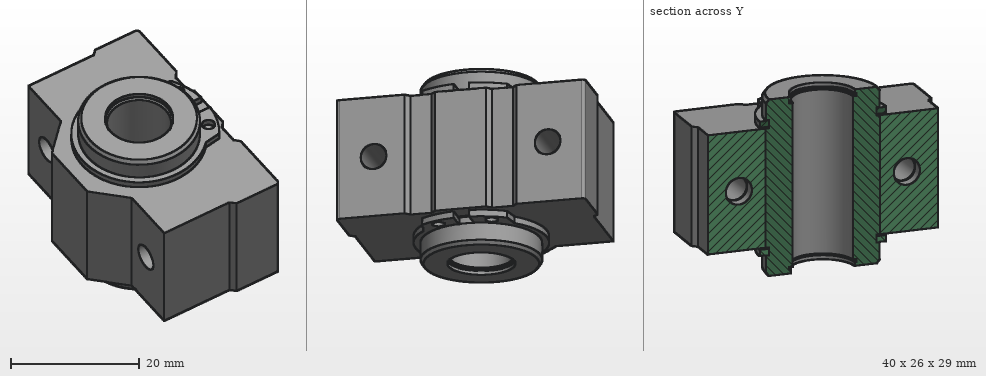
import cadquery as cq
import math

HOUSING_HEIGHT = 19.6
HALF_WIDTH = 20.0
HALF_DEPTH = 13.0
CORNER_RADIUS = 0.5
SIDE_STEP_Y = 5.0
SIDE_STEP = 0.8
SHOULDER_Y = -8.0
FOOT_HALF_WIDTH = 5.0
FOOT_SLOPE = HALF_DEPTH + SHOULDER_Y

NOTCH_X = 6.55
NOTCH_WIDTH = 4.95
NOTCH_DEPTH = 0.8

MOUNT_X = 14.0
MOUNT_MOUTH_DIAMETER = 4.3
MOUNT_DIAMETER = 4.1
MOUNT_MOUTH_DEPTH = 10.0

BEARING_LENGTH = 29.0
BEARING_DIAMETER = 19.0
BEARING_BORE = 10.0
END_CHAMFER_RADIAL = 0.5
END_CHAMFER_AXIAL = 0.65
MOUTH_DIAMETER = 10.6
MOUTH_DEPTH = 0.7
UNDERCUT_DIAMETER = 11.2
UNDERCUT_DEPTH = 1.1
GROOVE_DIAMETER = 18.0
GROOVE_OUTER_Z = 11.05
GROOVE_INNER_Z = HOUSING_HEIGHT / 2

CLIP_THICKNESS = 1.1
CLIP_DIAMETER = 21.15
CLIP_GAP = 2.5
LUG_RADIUS = 12.5
LUG_TOP_HALF_WIDTH = 6.85
LUG_ROOT_HALF_WIDTH = 7.3
LUG_HOLE_DIAMETER = 2.0
LUG_HOLE_X = 4.3
LUG_HOLE_Y = 10.1


def disc(diameter, bottom, height):
    return cq.Workplane("XY").workplane(offset=bottom).circle(diameter / 2).extrude(height)


def make_notch(x):
    half = NOTCH_WIDTH / 2
    floor_half = half - NOTCH_DEPTH
    floor_y = HALF_DEPTH - NOTCH_DEPTH
    return (
        cq.Workplane("XY")
        .polyline([
            (x - half, HALF_DEPTH),
            (x - floor_half, floor_y),
            (x + floor_half, floor_y),
            (x + half, HALF_DEPTH),
        ])
        .close()
        .extrude(HOUSING_HEIGHT / 2, both=True)
    )


def make_mount_hole(x):
    """Stepped through hole, wider where it enters the front shoulder."""
    front = cq.Workplane("XZ", origin=(x, SHOULDER_Y, 0))
    through = front.circle(MOUNT_DIAMETER / 2).extrude(SHOULDER_Y - HALF_DEPTH)
    mouth = front.circle(MOUNT_MOUTH_DIAMETER / 2).extrude(-MOUNT_MOUTH_DEPTH)
    return through.union(mouth)


def make_housing():
    waist = HALF_WIDTH - SIDE_STEP
    right_side = [
        (FOOT_HALF_WIDTH, -HALF_DEPTH),
        (FOOT_HALF_WIDTH + FOOT_SLOPE, SHOULDER_Y),
        (waist, SHOULDER_Y),
        (waist, SIDE_STEP_Y - SIDE_STEP),
        (HALF_WIDTH, SIDE_STEP_Y),
        (HALF_WIDTH, HALF_DEPTH),
    ]
    left_side = [(-x, y) for x, y in reversed(right_side)]
    housing = (
        cq.Workplane("XY")
        .polyline(right_side + left_side)
        .close()
        .extrude(HOUSING_HEIGHT / 2, both=True)
        .edges("|Z and >Y")
        .fillet(CORNER_RADIUS)
    )
    for side in (-1, 1):
        housing = housing.cut(make_notch(side * NOTCH_X))
        housing = housing.cut(make_mount_hole(side * MOUNT_X))
    return housing.cut(disc(BEARING_DIAMETER, -HOUSING_HEIGHT / 2, HOUSING_HEIGHT))


def make_bearing():
    """Revolve the wall section, with its clip grooves and undercut ends, about the Z axis."""
    end_z = BEARING_LENGTH / 2
    outer = BEARING_DIAMETER / 2
    groove = GROOVE_DIAMETER / 2
    mouth = MOUTH_DIAMETER / 2
    undercut = UNDERCUT_DIAMETER / 2
    bore = BEARING_BORE / 2
    upper_half = [
        (outer, GROOVE_INNER_Z),
        (groove, GROOVE_INNER_Z),
        (groove, GROOVE_OUTER_Z),
        (outer, GROOVE_OUTER_Z),
        (outer, end_z - END_CHAMFER_AXIAL),
        (outer - END_CHAMFER_RADIAL, end_z),
        (mouth, end_z),
        (mouth, end_z - MOUTH_DEPTH),
        (undercut, end_z - MOUTH_DEPTH),
        (undercut, end_z - UNDERCUT_DEPTH),
        (bore, end_z - UNDERCUT_DEPTH),
    ]
    lower_half = [(r, -z) for r, z in reversed(upper_half)]
    return (
        cq.Workplane("XZ")
        .polyline(upper_half + lower_half)
        .close()
        .revolve(360, (0, 0, 0), (0, 1, 0))
    )


def make_clip(bottom):
    """Open ring with two drilled lugs on the +Y side."""
    lug_top_y = math.sqrt(LUG_RADIUS**2 - LUG_TOP_HALF_WIDTH**2)
    lug_root_y = math.sqrt((CLIP_DIAMETER / 2)**2 - LUG_ROOT_HALF_WIDTH**2)
    plane = cq.Workplane("XY").workplane(offset=bottom)
    lugs = (
        plane.moveTo(-LUG_ROOT_HALF_WIDTH, lug_root_y)
        .lineTo(-LUG_TOP_HALF_WIDTH, lug_top_y)
        .threePointArc((0, LUG_RADIUS), (LUG_TOP_HALF_WIDTH, lug_top_y))
        .lineTo(LUG_ROOT_HALF_WIDTH, lug_root_y)
        .close()
        .extrude(CLIP_THICKNESS)
    )
    gap = plane.center(0, LUG_RADIUS / 2).rect(CLIP_GAP, LUG_RADIUS).extrude(CLIP_THICKNESS)
    holes = (
        plane.pushPoints([(-LUG_HOLE_X, LUG_HOLE_Y), (LUG_HOLE_X, LUG_HOLE_Y)])
        .circle(LUG_HOLE_DIAMETER / 2)
        .extrude(CLIP_THICKNESS)
    )
    return (
        disc(CLIP_DIAMETER, bottom, CLIP_THICKNESS)
        .union(lugs)
        .cut(disc(GROOVE_DIAMETER, bottom, CLIP_THICKNESS))
        .cut(gap)
        .cut(holes)
    )


housing = make_housing()
bearing = make_bearing()
clips = [make_clip(bottom) for bottom in (GROOVE_OUTER_Z - CLIP_THICKNESS, -GROOVE_OUTER_Z)]

result = cq.Compound.makeCompound([
    housing.val(),
    bearing.val(),
    *[clip.val() for clip in clips],
])